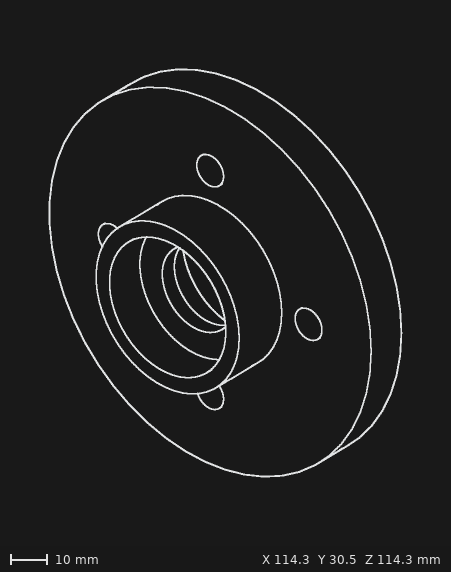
import cadquery as cq

flange_diameter = 114.3
flange_thickness = 12.7
hub_diameter = 50.8
total_length = 30.48
hub_length = total_length - flange_thickness

recess_diameter = 41.275
recess_depth = 12.7
bore_diameter = 25.4

bolt_hole_diameter = 9.525
bolt_circle_diameter = 69.85
bolt_count = 4


def cylinder_along_y(diameter, start_y, length):
    """Solid cylinder on the Y axis, growing from start_y toward +Y."""
    return cq.Workplane("XZ", origin=(0, start_y, 0)).circle(diameter / 2).extrude(-length)


def make_body():
    flange = cylinder_along_y(flange_diameter, 0, flange_thickness)
    hub = cylinder_along_y(hub_diameter, -hub_length, hub_length)
    return flange.union(hub)


def cut_stepped_bore(body):
    hub_recess = cylinder_along_y(recess_diameter, -hub_length, recess_depth)
    flange_recess = cylinder_along_y(recess_diameter, flange_thickness - recess_depth, recess_depth)
    bore = cylinder_along_y(bore_diameter, -hub_length, total_length)
    return body.cut(hub_recess).cut(flange_recess).cut(bore)


def cut_bolt_holes(body):
    bolt_hole = cylinder_along_y(bolt_hole_diameter, 0, flange_thickness)
    bolt_hole = bolt_hole.translate((bolt_circle_diameter / 2, 0, 0))
    for index in range(bolt_count):
        angle = index * 360 / bolt_count
        body = body.cut(bolt_hole.rotate((0, 0, 0), (0, 1, 0), angle))
    return body


result = cut_bolt_holes(cut_stepped_bore(make_body()))